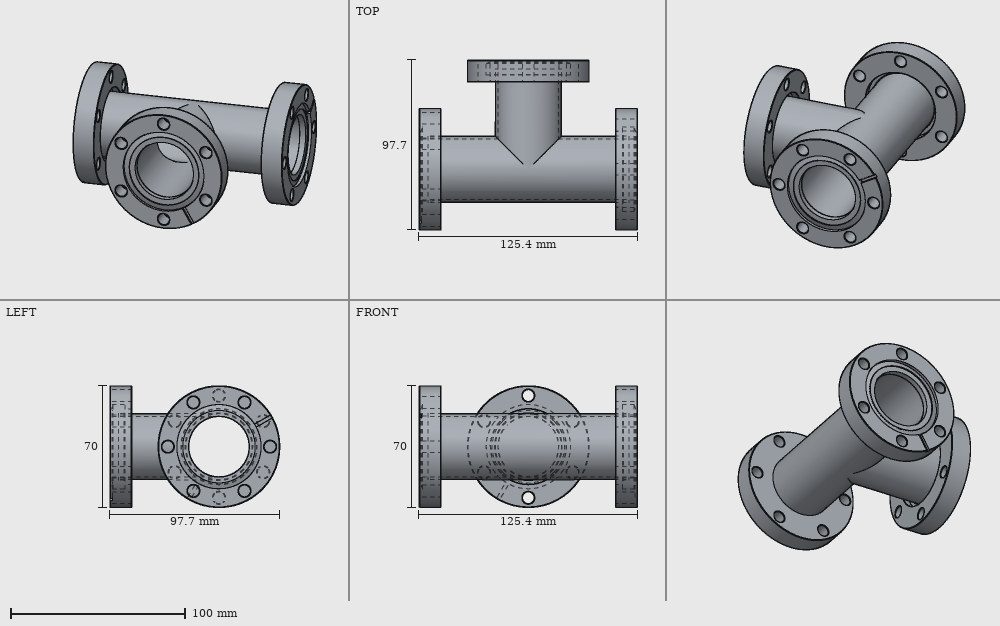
import cadquery as cq
import math

run_length = 125.4
branch_reach = 62.7
tube_diameter = 38.0
tube_bore = 34.6

flange_diameter = 70.0
flange_thickness = 12.7
rim_chamfer = 0.4
bolt_count = 6
bolt_circle = 58.7
bolt_hole = 6.8
bolt_chamfer = 0.4
port_bore = 35.0
tube_setback = 5.0

recess_diameter = 48.4
knife_diameter = 41.6
knife_setback = 0.8
knife_angle = 20.0
seat_depth = 1.5

groove_width = 2.0
groove_depth = 1.5
groove_angle = 30.0

clearance_diameter = 43.3
clearance_chamfer = 0.3
lip_thickness = 4.0
relief_diameter = 38.9
relief_depth = 0.5

recess_radius = recess_diameter / 2
knife_radius = knife_diameter / 2
recess_depth = knife_setback + (recess_radius - knife_radius) * math.tan(math.radians(knife_angle))
groove_start = math.sqrt(recess_radius**2 - (groove_width / 2) ** 2)
insert_thickness = flange_thickness - lip_thickness



def disc(diameter, front, back):
    """Cylinder about Z between two depths below the flange face."""
    return cq.Workplane("XY").workplane(offset=-front).circle(diameter / 2).extrude(front - back)


def countersink(depth, inward):
    """Countersink at one end of a bolt hole; inward is +1 at the front and -1 at the back."""
    mouth = cq.Solid.makeCone(
        bolt_hole / 2 + bolt_chamfer,
        bolt_hole / 2,
        bolt_chamfer,
        pnt=cq.Vector(0, 0, -depth),
        dir=cq.Vector(0, 0, -inward),
    )
    return cq.Workplane(obj=mouth)


def cut_bolt_holes(flange):
    """Drill the bolt circle and chamfer both ends of every hole."""
    hole = (
        disc(bolt_hole, 0, flange_thickness)
        .union(countersink(0, 1))
        .union(countersink(flange_thickness, -1))
        .translate((bolt_circle / 2, 0, 0))
    )
    for i in range(bolt_count):
        flange = flange.cut(hole.rotate((0, 0, 0), (0, 0, 1), i * 360 / bolt_count))
    return flange


def leak_groove():
    """Radial channel from the recess through the rim."""
    length = flange_diameter / 2 - groove_start
    return (
        cq.Workplane("XY")
        .center(groove_start, 0)
        .rect(length, groove_width, centered=(False, True))
        .extrude(-groove_depth)
        .rotate((0, 0, 0), (0, 0, 1), groove_angle)
    )


def flange_blank():
    """Disc with chamfered rims, bolt holes and a leak check groove."""
    blank = disc(flange_diameter, 0, flange_thickness).edges().chamfer(rim_chamfer)
    return cut_bolt_holes(blank).cut(leak_groove())


def sealing_cavity():
    """Open space in front of the knife edge and its inner flat, out to the recess wall."""
    profile = [
        (0, 0),
        (recess_radius, 0),
        (recess_radius, -recess_depth),
        (knife_radius, -knife_setback),
        (knife_radius, -seat_depth),
        (0, -seat_depth),
    ]
    return cq.Workplane("XZ").polyline(profile).close().revolve(360, (0, 0, 0), (0, 1, 0))


def cut_port(body, thickness):
    """Cut the sealing face, the port and the socket that takes the tube end."""
    port = disc(port_bore, 0, tube_setback)
    socket = disc(tube_diameter, tube_setback, thickness)
    return body.cut(sealing_cavity()).cut(port).cut(socket)


def make_fixed_flange():
    """One-piece flange that holds the tube end."""
    return cut_port(flange_blank(), flange_thickness)


def make_ring():
    """Rotatable ring: counterbored from the front for the insert, with a lip at the back."""
    counterbore = disc(recess_diameter, 0, insert_thickness)
    clearance = disc(clearance_diameter, insert_thickness, flange_thickness)
    ring = flange_blank().cut(counterbore).cut(clearance)
    bore_edge = cq.selectors.RadiusNthSelector(1)
    return ring.faces("<Z").edges(bore_edge).chamfer(clearance_chamfer)


def make_insert():
    """Knife edge disc that sits in the ring and holds the tube end."""
    insert = cut_port(disc(recess_diameter, 0, insert_thickness), insert_thickness)
    return insert.cut(disc(relief_diameter, insert_thickness - relief_depth, insert_thickness))


def tee_cylinders(diameter):
    """Run along X and branch along +Y, both ending at the tube setback."""
    run_half = run_length / 2 - tube_setback
    branch_length = branch_reach - tube_setback
    run = cq.Workplane("YZ").circle(diameter / 2).extrude(run_half, both=True)
    branch = cq.Workplane("XZ").circle(diameter / 2).extrude(-branch_length)
    return run.union(branch)


def make_tee():
    """Tube tee with equal run and branch."""
    return tee_cylinders(tube_diameter).cut(tee_cylinders(tube_bore))


def place(body, spin, tilt_axis, tilt, position):
    """Spin a flange part about its own axis, tilt that axis and move the face into position."""
    origin = (0, 0, 0)
    return body.rotate(origin, (0, 0, 1), spin).rotate(origin, tilt_axis, tilt).translate(position)


tee = make_tee()
fixed_flange = place(make_fixed_flange(), -90, (0, 1, 0), -90, (-run_length / 2, 0, 0))

rotatable_places = [
    (0, (0, 1, 0), 90, (run_length / 2, 0, 0)),
    (90, (1, 0, 0), -90, (0, branch_reach, 0)),
]
rings = [place(make_ring(), *where) for where in rotatable_places]
inserts = [place(make_insert(), *where) for where in rotatable_places]

bodies = [tee, fixed_flange, *rings, *inserts]
result = cq.Compound.makeCompound([body.val() for body in bodies])